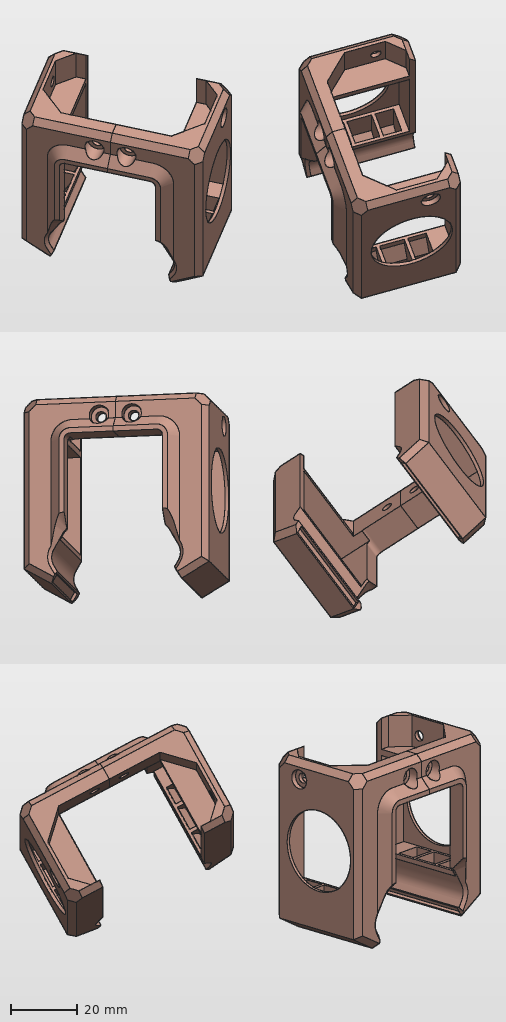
import cadquery as cq
import math

HALF_WIDTH = 28.5
DEPTH = 34.0
SIDE_HEIGHT = 52.0
TOTAL_HEIGHT = 56.9
BEVEL = 2.0
HOOK_ANGLE = math.radians(30)

OPENING_X = 15.1
OPENING_TOP = 11.75
OPENING_RADIUS = 1.8
OPENING_CORNER_Z = -40.25
RIM_HEIGHT = 3.15
RIM_WIDTH = 1.6

HOOK_TIP_LENGTH = 4.0
HOOK_CREASE_X = 20.6
HOOK_CREASE_Z = -49.0
HOOK_RADIUS = 5.0
HOOK_SLOPE_TOP_Z = -41.25
FLARE_START_Y = 1.0
FLARE_SMALL_OFFSET = 0.005
TIP_GROOVE_LIP = 0.55
TIP_GROOVE_DEPTH = 1.0

LEG_INNER_X = 17.4
BAR_THICKNESS = 6.0
WALL = 2.0
SIDE_WALL = 1.1
TOP_POCKET_DEPTH = 10.0
TOP_POCKET_SIDE_WALL = 3.0
TOP_POCKET_BACK_BEVEL = 5.0
CHAMBER_TOP = 11.95
FLOOR_Z = -41.95

CELL_WALL = 1.0
CELL_SLOPE_WALL = 0.55
CELL_BACK_MARGIN = 4.1
CELL_RIB = 1.15
CELL_LENGTHS = (5.8, 7.75, 5.8)

SCREW_DIAMETER = 3.2
SCREW_HEAD_DIAMETER = 6.0
FRONT_HEAD_DEPTH = 3.0
SIDE_HEAD_DEPTH = 1.7
SCREW_Z = -5.9
FRONT_SCREW_X = 5.0
SIDE_SCREW_Y = 24.0
PORT_DIAMETER = 25.7
PORT_Z = -26.95
PORT_Y = 16.0

TAN_HOOK = math.tan(HOOK_ANGLE)
heel_x = HALF_WIDTH - (TOTAL_HEIGHT - SIDE_HEIGHT) / TAN_HOOK
tip_x = heel_x - HOOK_TIP_LENGTH * math.sin(HOOK_ANGLE)
tip_z = -TOTAL_HEIGHT + HOOK_TIP_LENGTH * math.cos(HOOK_ANGLE)
arc_half_height = HOOK_RADIUS * math.sin(HOOK_ANGLE)
arc_end_x = HOOK_CREASE_X - arc_half_height * TAN_HOOK
arc_mid_x = HOOK_CREASE_X - HOOK_RADIUS * (1 / math.cos(HOOK_ANGLE) - 1)
slope_top_x = HOOK_CREASE_X - (HOOK_SLOPE_TOP_Z - HOOK_CREASE_Z) * TAN_HOOK


def xz_plane(y):
    """Work plane at depth y whose local axes are X and Z; it extrudes toward -Y."""
    return cq.Workplane("XZ", origin=(0, y, 0))


def block(x0, x1, y0, y1, z0, z1):
    return cq.Workplane("XY").box(x1 - x0, y1 - y0, z1 - z0, centered=False).translate((x0, y0, z0))


def bevelled_envelope():
    """Solid outer shape of one half, with every outer edge bevelled."""
    bottom_at_joint = -SIDE_HEIGHT - HALF_WIDTH * TAN_HOOK
    body = (
        xz_plane(DEPTH)
        .polyline([(0, 0), (HALF_WIDTH, 0), (HALF_WIDTH, -SIDE_HEIGHT), (0, bottom_at_joint)])
        .close()
        .extrude(DEPTH)
        .edges("(not <X) and (not (|Y and (not >Z)))")
        .chamfer(BEVEL)
    )
    for y, inward in ((0, 1), (DEPTH, -1)):
        corner_plane = cq.Plane(
            origin=(HALF_WIDTH - BEVEL, y + inward * BEVEL, -BEVEL),
            xDir=(1, inward, 0),
            normal=(1, -inward, 1),
        )
        body = body.cut(cq.Workplane(corner_plane).rect(4 * BEVEL, 4 * BEVEL).extrude(2 * BEVEL))
    return body


def hook_inner_edge(sketch):
    """Continue a sketch from the foot of the opening, down the slope and around the hook groove."""
    return (
        sketch.lineTo(OPENING_X, OPENING_CORNER_Z)
        .lineTo(slope_top_x, HOOK_SLOPE_TOP_Z)
        .lineTo(arc_end_x, HOOK_CREASE_Z + arc_half_height)
        .threePointArc((arc_mid_x, HOOK_CREASE_Z), (arc_end_x, HOOK_CREASE_Z - arc_half_height))
    )


def half_outline():
    """Solid through the full depth with the front outline of one half."""
    sketch = xz_plane(DEPTH).moveTo(0, -OPENING_TOP).lineTo(OPENING_X - OPENING_RADIUS, -OPENING_TOP)
    sketch = sketch.radiusArc((OPENING_X, -OPENING_TOP - OPENING_RADIUS), OPENING_RADIUS)
    return (
        hook_inner_edge(sketch)
        .lineTo(tip_x, tip_z)
        .lineTo(heel_x, -TOTAL_HEIGHT)
        .lineTo(HALF_WIDTH, -SIDE_HEIGHT)
        .lineTo(HALF_WIDTH, 0)
        .lineTo(0, 0)
        .close()
        .extrude(DEPTH + RIM_HEIGHT)
    )


def opening_rim():
    """Raised rim around the opening, sloping at 45 degrees toward the front face."""
    base_offset = RIM_WIDTH + RIM_HEIGHT
    base_x = OPENING_X + base_offset
    base_top = -OPENING_TOP + base_offset
    return (
        xz_plane(0)
        .center(0, base_top - TOTAL_HEIGHT)
        .sketch()
        .rect(2 * base_x, 2 * TOTAL_HEIGHT)
        .vertices()
        .fillet(OPENING_RADIUS + base_offset)
        .finalize()
        .extrude(RIM_HEIGHT, taper=45)
        .intersect(block(0, HALF_WIDTH, -RIM_HEIGHT, 0, HOOK_CREASE_Z, 0))
    )


def hook_flare():
    """Cutter that widens the clearance between the hooks at 45 degrees toward the front."""
    below = TOTAL_HEIGHT + 2 * RIM_HEIGHT
    below_x = tip_x - (below + tip_z) * TAN_HOOK
    front = -2 * RIM_HEIGHT

    def outline(y, offset):
        sketch = hook_inner_edge(xz_plane(y).moveTo(0, OPENING_CORNER_Z))
        return sketch.lineTo(below_x, -below).lineTo(0, -below).close().offset2D(offset, "arc").val()

    narrow_end = outline(FLARE_START_Y, FLARE_SMALL_OFFSET)
    wide_end = outline(front, FLARE_START_Y - front)
    return cq.Workplane(cq.Solid.makeLoft([narrow_end, wide_end], True))


def top_pocket():
    """Pocket open to the top and to the inside, with two slanted corners."""
    outer_x = HALF_WIDTH - TOP_POCKET_SIDE_WALL
    back_y = DEPTH - WALL
    return (
        cq.Workplane("XY")
        .polyline(
            [
                (0, BAR_THICKNESS),
                (LEG_INNER_X, BAR_THICKNESS),
                (outer_x, BAR_THICKNESS + outer_x - LEG_INNER_X),
                (outer_x, back_y - TOP_POCKET_BACK_BEVEL),
                (outer_x - TOP_POCKET_BACK_BEVEL, back_y),
                (0, back_y),
            ]
        )
        .close()
        .extrude(-TOP_POCKET_DEPTH)
    )


def chamber():
    """Space in the leg between the top pocket and the floor, open to the inside."""
    return block(0, HALF_WIDTH - SIDE_WALL, WALL, DEPTH - WALL, FLOOR_Z, -CHAMBER_TOP)


def floor_cell(y0, length):
    """One cell sunk into the leg floor; its walls follow the hook."""
    inner_x = LEG_INNER_X + CELL_WALL
    outer_x = HALF_WIDTH - SIDE_WALL - CELL_WALL
    slope_shift = CELL_SLOPE_WALL / math.cos(HOOK_ANGLE)
    crease_x = HOOK_CREASE_X + slope_shift
    slope_z = HOOK_CREASE_Z + (crease_x - inner_x) / TAN_HOOK
    bottom_z = -SIDE_HEIGHT + WALL / math.cos(HOOK_ANGLE)
    return (
        xz_plane(y0 + length)
        .polyline(
            [
                (inner_x, FLOOR_Z),
                (inner_x, slope_z),
                (crease_x, HOOK_CREASE_Z),
                (crease_x, bottom_z - (HALF_WIDTH - crease_x) * TAN_HOOK),
                (outer_x, bottom_z - (HALF_WIDTH - outer_x) * TAN_HOOK),
                (outer_x, FLOOR_Z),
            ]
        )
        .close()
        .extrude(length)
    )


def tip_groove():
    """Groove along the end face of the hook, leaving a lip above, below and at both ends."""
    end_face = cq.Plane(
        origin=((heel_x + tip_x) / 2, DEPTH / 2, (tip_z - TOTAL_HEIGHT) / 2),
        xDir=(0, 1, 0),
        normal=(-math.cos(HOOK_ANGLE), 0, -math.sin(HOOK_ANGLE)),
    )
    return (
        cq.Workplane(end_face)
        .rect(DEPTH - 2 * WALL, HOOK_TIP_LENGTH - 2 * TIP_GROOVE_LIP)
        .extrude(-TIP_GROOVE_DEPTH)
    )


def screw_hole(plane, through, head_depth):
    """Screw hole with a round recess for the head, sunk against the plane's normal."""
    shank = cq.Workplane(plane).circle(SCREW_DIAMETER / 2).extrude(-through)
    head = cq.Workplane(plane).circle(SCREW_HEAD_DIAMETER / 2).extrude(-head_depth)
    clearance = cq.Workplane(plane).circle(SCREW_HEAD_DIAMETER / 2).extrude(RIM_HEIGHT)
    return shank.union(head).union(clearance)


def make_half(turned):
    """Right-hand half. A turned leg has its port and cells swapped front to back."""
    lowest_z = -2 * TOTAL_HEIGHT
    half = bevelled_envelope().union(opening_rim()).intersect(half_outline())
    half = half.cut(block(0, LEG_INNER_X, BAR_THICKNESS, DEPTH, lowest_z, 0))
    half = half.cut(top_pocket()).cut(chamber())
    half = half.cut(block(0, LEG_INNER_X, WALL, DEPTH, lowest_z, -CHAMBER_TOP))
    half = half.cut(hook_flare()).cut(tip_groove())

    y = CELL_BACK_MARGIN
    for length in CELL_LENGTHS:
        half = half.cut(floor_cell(y if turned else DEPTH - y - length, length))
        y += length + CELL_RIB

    port_y = DEPTH - PORT_Y if turned else PORT_Y
    port_plane = cq.Plane(origin=(HALF_WIDTH, port_y, PORT_Z), xDir=(0, 1, 0), normal=(1, 0, 0))
    half = half.cut(cq.Workplane(port_plane).circle(PORT_DIAMETER / 2).extrude(-HALF_WIDTH + LEG_INNER_X))

    front_plane = cq.Plane(origin=(FRONT_SCREW_X, 0, SCREW_Z), xDir=(1, 0, 0), normal=(0, -1, 0))
    side_plane = cq.Plane(origin=(HALF_WIDTH, SIDE_SCREW_Y, SCREW_Z), xDir=(0, 1, 0), normal=(1, 0, 0))
    half = half.cut(screw_hole(front_plane, BAR_THICKNESS, FRONT_HEAD_DEPTH))
    return half.cut(screw_hole(side_plane, TOP_POCKET_SIDE_WALL, SIDE_HEAD_DEPTH))


right_half = make_half(turned=True)
left_half = make_half(turned=False).mirror("YZ")

result = cq.Compound.makeCompound([left_half.val(), right_half.val()])